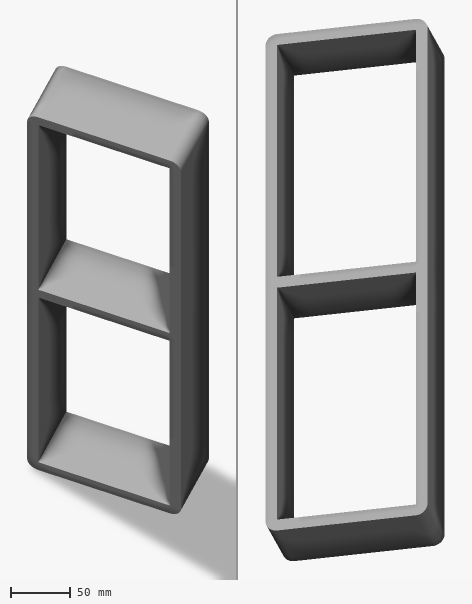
import cadquery as cq

width = 140.5
depth = 60.0
height = 466.0

wall = 10.3
shelf = 10.3
corner_radius = 10.3

opening_width = width - 2 * wall
opening_height = (height - 2 * wall - shelf) / 2
opening_offset = (opening_height + shelf) / 2

frame = cq.Workplane("XY").box(width, depth, height).edges("|Y").fillet(corner_radius)

openings = (
    cq.Workplane("XZ")
    .pushPoints([(0, -opening_offset), (0, opening_offset)])
    .rect(opening_width, opening_height)
    .extrude(depth / 2, both=True)
)

result = frame.cut(openings)